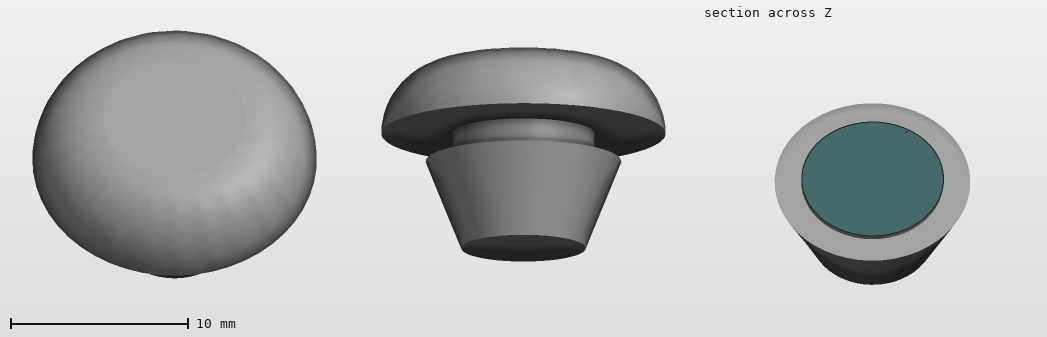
import cadquery as cq
import math

head_radius = 8.0
head_height = 4.0
flat_radius = head_radius - head_height

neck_radius = 4.0
neck_height = 1.6

plug_top_radius = 11.0 / 2
plug_bottom_radius = 7.0 / 2
plug_height = 5.0

plug_top_z = -neck_height
plug_bottom_z = plug_top_z - plug_height

rim_offset = head_height * math.sqrt(0.5)
rim_middle = (flat_radius + rim_offset, rim_offset)

half_section = (
    cq.Workplane("XZ")
    .moveTo(0, plug_bottom_z)
    .lineTo(plug_bottom_radius, plug_bottom_z)
    .lineTo(plug_top_radius, plug_top_z)
    .lineTo(neck_radius, plug_top_z)
    .lineTo(neck_radius, 0)
    .lineTo(head_radius, 0)
    .threePointArc(rim_middle, (flat_radius, head_height))
    .lineTo(0, head_height)
    .close()
)

result = half_section.revolve(360, (0, 0, 0), (0, 1, 0))